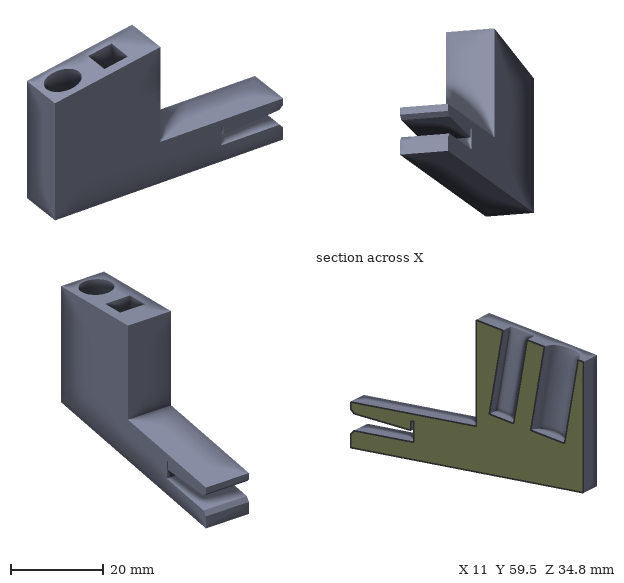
import cadquery as cq
import math

WIDTH = 11.0
LENGTH = 59.5
HEIGHT = 34.8
HEAD_LENGTH = 27.5
LEG_HEIGHT = 10.55
TOP_SLOPE = 10.0
SLOPE_RISE = math.tan(math.radians(TOP_SLOPE))
FRONT_HEIGHT = HEIGHT - HEAD_LENGTH * SLOPE_RISE

MOUTH_DEPTH = 16.05
LOWER_JAW_HEIGHT = 4.1
JAW_CHAMFER_LENGTH = 0.95
JAW_CHAMFER_HEIGHT = 1.0
UPPER_JAW_TIP_Z = 7.9
UPPER_JAW_HEEL_Z = 6.6
RELIEF_WIDTH = 0.55
RELIEF_TOP_Z = 8.75

COVER_THICKNESS = 1.4
COVER_LENGTH = 55.35
COVER_TOP_MARGIN = 1.25

POCKET_WIDTH = 6.35
POCKET_LENGTH = 6.2
POCKET_CENTRE_Y = 17.5
BORE_WIDTH = 7.5
BORE_LENGTH = 8.6
BORE_CENTRE_Y = 5.7
OPENING_DEPTH = 20.0


def side_plate(points, x_start, thickness):
    """Extrude a (Y, Z) outline along +X."""
    plane = cq.Workplane("YZ", origin=(x_start, 0, 0))
    return plane.polyline(points).close().extrude(thickness)


def stepped_profile(length, front_height):
    """L-shaped outline: a tall head with a sloping top, and a low leg behind it."""
    return [
        (0, 0),
        (length, 0),
        (length, LEG_HEIGHT),
        (HEAD_LENGTH, LEG_HEIGHT),
        (HEAD_LENGTH, front_height + HEAD_LENGTH * SLOPE_RISE),
        (0, front_height),
    ]


def clip_mouth():
    """Tapered mouth with chamfered lips and a narrow relief at its inner end."""
    mouth_end = LENGTH - MOUTH_DEPTH
    lip = LENGTH - JAW_CHAMFER_LENGTH
    outline = [
        (LENGTH, LOWER_JAW_HEIGHT - JAW_CHAMFER_HEIGHT),
        (lip, LOWER_JAW_HEIGHT),
        (mouth_end, LOWER_JAW_HEIGHT),
        (mouth_end, RELIEF_TOP_Z),
        (mouth_end + RELIEF_WIDTH, RELIEF_TOP_Z),
        (mouth_end + RELIEF_WIDTH, UPPER_JAW_HEEL_Z),
        (lip, UPPER_JAW_TIP_Z),
        (LENGTH, UPPER_JAW_TIP_Z + JAW_CHAMFER_HEIGHT),
    ]
    return side_plate(outline, 0, WIDTH)


def top_plane(centre_y):
    """Workplane on the sloping top, with its normal pointing out of the part."""
    slope = math.radians(TOP_SLOPE)
    return cq.Workplane(cq.Plane(
        origin=(WIDTH / 2, centre_y, FRONT_HEIGHT + centre_y * SLOPE_RISE),
        xDir=(1, 0, 0),
        normal=(0, -math.sin(slope), math.cos(slope)),
    ))


def top_pocket():
    return top_plane(POCKET_CENTRE_Y).rect(POCKET_WIDTH, POCKET_LENGTH).extrude(-OPENING_DEPTH)


def top_bore():
    return top_plane(BORE_CENTRE_Y).ellipse(BORE_WIDTH / 2, BORE_LENGTH / 2).extrude(-OPENING_DEPTH)


def make_cover_blank():
    """Cover before the mouth is cut; also the shape of its recess in the housing."""
    profile = stepped_profile(COVER_LENGTH, FRONT_HEIGHT - COVER_TOP_MARGIN)
    return side_plate(profile, WIDTH - COVER_THICKNESS, COVER_THICKNESS)


def make_housing():
    block = side_plate(stepped_profile(LENGTH, FRONT_HEIGHT), 0, WIDTH)
    return block.cut(make_cover_blank()).cut(clip_mouth()).cut(top_pocket()).cut(top_bore())


def make_cover():
    return make_cover_blank().cut(clip_mouth())


housing = make_housing()
cover = make_cover()
result = cq.Compound.makeCompound([housing.val(), cover.val()])